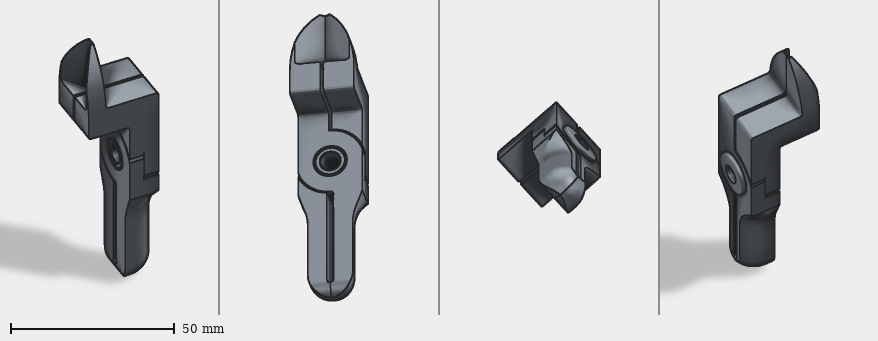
import cadquery as cq
import math


length = 92.0
tip_z = length / 2
half_width = 20.0 / 2
plate_thickness = 10.0
jaw_depth = 24.0

back_y = plate_thickness / 2
front_y = -plate_thickness / 2
jaw_front_y = back_y - jaw_depth

jaw_top_z = 27.0
jaw_bottom_z = 17.0
jaw_curve_start_z = 25.0
tip_half_width = 1.6
corner_radius = 1.0
blade_thickness = 6.0
bevel_half_width = 8.5
jaw_slot_width = 1.0
jaw_slot_top_z = 27.7

blade_back_y = jaw_front_y + blade_thickness

grip_half_width = 7.0
taper_top_z = -11.0
taper_bottom_z = -19.0
taper_blend_radius = 15.0
handle_slot_width = 2.0
handle_slot_bottom_z = -42.0
flat_side_depth = 2.6
end_front_start_z = -41.4
end_front_radius = 5.4
grip_round_radius = 9.0

grip_end_z = -tip_z + grip_half_width
flat_side_y = front_y + flat_side_depth
taper_angle = math.atan2(half_width - grip_half_width, taper_top_z - taper_bottom_z)
blend_length = taper_blend_radius * math.tan(taper_angle / 2)
blend_bottom_z = taper_bottom_z - blend_length

hub_radius = 10.5
hub_clearance = 0.51
pin_radius = 5.0
pin_end_chamfer = 0.5
pin_bore_radius = 3.0
pin_head_radius = 7.0
pin_head_thickness = 1.5
pin_head_fillet = 0.5
pin_bore_chamfer = 0.3
hole_chamfer = 0.3


def box_between(x_range, y_range, z_range):
    """Box given by its lower and upper limit along each axis."""
    sizes = [high - low for low, high in (x_range, y_range, z_range)]
    corner = (x_range[0], y_range[0], z_range[0])
    return cq.Workplane("XY", origin=corner).box(*sizes, centered=False)


def cylinder_along_y(radius, start_y, end_y):
    """Cylinder on the pivot axis."""
    return cq.Workplane("XZ", origin=(0, start_y, 0)).circle(radius).extrude(start_y - end_y)


def half_outline_plate():
    """Left half of the pliers' outline, extruded over the full depth."""
    arc_middle = grip_half_width * math.sqrt(0.5)
    return (
        cq.Workplane("XZ", origin=(0, back_y, 0))
        .moveTo(0, -tip_z)
        .threePointArc((-arc_middle, grip_end_z - arc_middle), (-grip_half_width, grip_end_z))
        .lineTo(-grip_half_width, blend_bottom_z)
        .tangentArcPoint(
            (
                -grip_half_width - blend_length * math.sin(taper_angle),
                taper_bottom_z + blend_length * math.cos(taper_angle),
            ),
            relative=False,
        )
        .lineTo(-half_width, taper_top_z)
        .lineTo(-half_width, jaw_curve_start_z)
        .tangentArcPoint((-tip_half_width, tip_z), relative=False)
        .lineTo(0, tip_z)
        .close()
        .extrude(jaw_depth)
    )


def side_profile():
    """Side shape: handle end with a rounded front edge, flat plate, forward step and upright blade."""
    profile = (
        cq.Workplane("YZ")
        .moveTo(front_y, end_front_start_z)
        .lineTo(front_y, jaw_bottom_z)
        .lineTo(jaw_front_y, jaw_bottom_z)
        .lineTo(jaw_front_y, tip_z)
        .lineTo(blade_back_y, tip_z)
        .lineTo(blade_back_y, jaw_top_z)
        .lineTo(back_y, jaw_top_z)
        .lineTo(back_y, -tip_z)
        .lineTo(flat_side_y, -tip_z)
        .radiusArc((front_y, end_front_start_z), end_front_radius)
        .close()
        .extrude(-half_width)
    )
    rounded_corners = [
        (front_y, jaw_bottom_z),
        (jaw_front_y, jaw_bottom_z),
        (blade_back_y, jaw_top_z),
        (back_y, jaw_top_z),
    ]
    for y, z in rounded_corners:
        edge = cq.selectors.NearestToPointSelector((-half_width / 2, y, z))
        profile = profile.edges(edge).fillet(corner_radius)
    return profile


def blade_bevel():
    """Wedge that leaves a cutting edge at the back of the blade, with a rounded foot."""
    overrun = 2.0
    wedge_front_y = blade_back_y - overrun * blade_thickness
    wedge_half_width = overrun * bevel_half_width
    wedge = (
        cq.Workplane("XY", origin=(0, 0, jaw_top_z))
        .moveTo(0, blade_back_y)
        .lineTo(-wedge_half_width, wedge_front_y)
        .lineTo(wedge_half_width, wedge_front_y)
        .close()
        .extrude(tip_z)
    )
    return wedge.faces("<Z").edges("not(#Y)").fillet(corner_radius)


def round_ended_slot(width, bottom_z, top_z):
    """Slot along Z through the full depth."""
    return (
        cq.Workplane("XZ", origin=(0, back_y, (bottom_z + top_z) / 2))
        .slot2D(top_z - bottom_z, width, 90)
        .extrude(jaw_depth)
    )


def grip_end_dome():
    """Flat side and rounded back of the grip, revolved around the centre of the grip end."""
    round_height = back_y - flat_side_y
    round_inset = grip_round_radius - math.sqrt(grip_round_radius**2 - round_height**2)
    return (
        cq.Workplane("XY", origin=(0, 0, grip_end_z))
        .moveTo(0, front_y)
        .lineTo(-grip_half_width, front_y)
        .lineTo(-grip_half_width, flat_side_y)
        .radiusArc((-grip_half_width + round_inset, back_y), grip_round_radius)
        .lineTo(0, back_y)
        .close()
        .revolve(360, (0, 0), (0, 1))
    )


def grip_round_back():
    """Vertical cylinder for the back of the grip, flaring out into the plate at its top."""
    flare_radius = grip_round_radius + taper_blend_radius
    flare_top_z = blend_bottom_z + taper_blend_radius
    arc_offset = taper_blend_radius * math.sqrt(0.5)
    axis_x = grip_round_radius - grip_half_width
    return (
        cq.Workplane("XZ", origin=(axis_x, flat_side_y, 0))
        .moveTo(0, grip_end_z)
        .lineTo(grip_round_radius, grip_end_z)
        .lineTo(grip_round_radius, blend_bottom_z)
        .threePointArc(
            (flare_radius - arc_offset, blend_bottom_z + arc_offset), (flare_radius, flare_top_z)
        )
        .lineTo(flare_radius, 0)
        .lineTo(0, 0)
        .close()
        .revolve(360, (0, 0), (0, 1))
    )


def grip_envelope():
    """Space that the left handle fills: flat-sided front strip, round back and domed end."""
    front_strip = box_between((-half_width, 0), (front_y, flat_side_y), (grip_end_z, 0))
    return front_strip.union(grip_round_back()).union(grip_end_dome())


def left_jaw(blank):
    """Left jaw, above the pivot."""
    above_pivot = box_between((-half_width, 0), (jaw_front_y, back_y), (0, tip_z))
    slot = round_ended_slot(jaw_slot_width, hub_radius, jaw_slot_top_z)
    return blank.intersect(above_pivot).cut(blade_bevel()).cut(slot)


def left_handle(blank):
    """Left handle, below the pivot."""
    below_pivot = box_between((-half_width, 0), (front_y, back_y), (-tip_z, 0))
    slot = round_ended_slot(handle_slot_width, handle_slot_bottom_z, -hub_radius)
    return blank.intersect(below_pivot).intersect(grip_envelope()).cut(slot)


def lever(jaw, handle, hub_face_y):
    """Jaw and opposite handle joined by a half-thickness hub that reaches to hub_face_y."""
    recess = cylinder_along_y(hub_radius + hub_clearance, 0, -hub_face_y)
    plate_width = box_between(
        (-half_width, half_width), (front_y, back_y), (-hub_radius, hub_radius)
    )
    hub = cylinder_along_y(hub_radius, 0, hub_face_y).intersect(plate_width)
    pin_hole = cylinder_along_y(pin_radius, front_y, back_y)
    return jaw.union(handle).cut(recess).union(hub).cut(pin_hole)


def countersink():
    """Cone that chamfers the front mouth of the pin hole."""
    return (
        cq.Workplane("XZ", origin=(0, front_y, 0))
        .circle(pin_radius + hole_chamfer)
        .workplane(offset=-hole_chamfer)
        .circle(pin_radius)
        .loft()
    )


def hollow_pin():
    """Tubular pin with a flat head on the back of the levers."""
    head_back_y = back_y + pin_head_thickness
    shank = cylinder_along_y(pin_radius, front_y, back_y)
    shank = shank.faces("<Y").chamfer(pin_end_chamfer)
    head = cylinder_along_y(pin_head_radius, back_y, head_back_y)
    head = head.faces(">Y").edges().fillet(pin_head_fillet)
    bore = cylinder_along_y(pin_bore_radius, front_y, head_back_y)
    pin = shank.union(head).cut(bore)
    bore_mouth = cq.selectors.RadiusNthSelector(0)
    return pin.faces("<Y").edges(bore_mouth).chamfer(pin_bore_chamfer)


left_blank = half_outline_plate().intersect(side_profile())
jaw_left = left_jaw(left_blank)
handle_left = left_handle(left_blank)
jaw_right = jaw_left.mirror("YZ")
handle_right = handle_left.mirror("YZ")

front_lever = lever(jaw_left, handle_right, front_y).cut(countersink())
back_lever = lever(jaw_right, handle_left, back_y)
pivot_pin = hollow_pin()

result = cq.Compound.makeCompound([front_lever.val(), back_lever.val(), pivot_pin.val()])